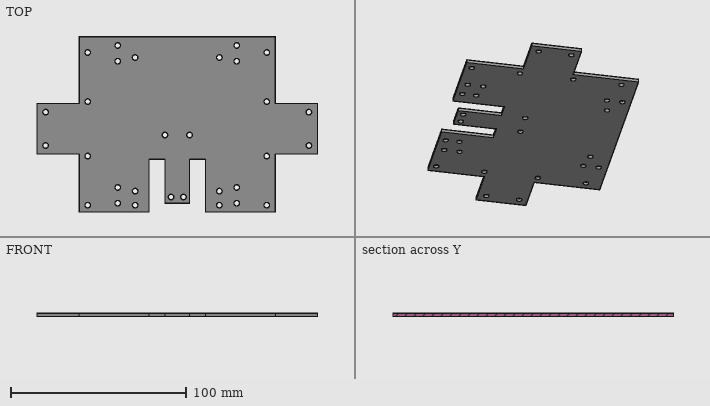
import cadquery as cq

thickness = 2.0
body_width = 112.0
body_depth = 100.0

arm_span = 160.0
arm_depth = 29.0
arm_center_y = -2.5

notch_width = 32.0
notch_top_y = -20.0
tongue_width = 14.0
tongue_setback = 5.0

hole_diameter = 3.0
edge_hole_x = 51.0
cluster_outer_x = 34.0
cluster_inner_x = 24.0
arm_hole_x = 75.0
arm_hole_pitch = 19.0
tongue_hole_x = 3.5

front_y = -body_depth / 2
arm_hole_rows = [arm_center_y - arm_hole_pitch / 2, arm_center_y + arm_hole_pitch / 2]

hole_columns = {
    edge_hole_x: [41.0, 13.0, -18.0, -46.0],
    cluster_outer_x: [45.0, 36.0, -36.0, -45.0],
    cluster_inner_x: [38.0, -38.0, -46.0],
    arm_hole_x: arm_hole_rows,
    tongue_width / 2: [-6.0],
    tongue_hole_x: [-41.5],
}


def slab(width, y_min, y_max):
    """Plate-thick rectangle centered on X, spanning y_min to y_max."""
    return (
        cq.Workplane("XY")
        .center(0, (y_min + y_max) / 2)
        .rect(width, y_max - y_min)
        .extrude(thickness)
    )


def plate():
    body = slab(body_width, front_y, -front_y)
    arms = slab(arm_span, arm_center_y - arm_depth / 2, arm_center_y + arm_depth / 2)
    notch = slab(notch_width, front_y, notch_top_y)
    tongue = slab(tongue_width, front_y + tongue_setback, notch_top_y)
    return body.union(arms).cut(notch).union(tongue)


def hole_positions():
    return [
        (side * x, y)
        for x, column in hole_columns.items()
        for y in column
        for side in (-1, 1)
    ]


holes = cq.Workplane("XY").pushPoints(hole_positions()).circle(hole_diameter / 2).extrude(thickness)

result = plate().cut(holes)